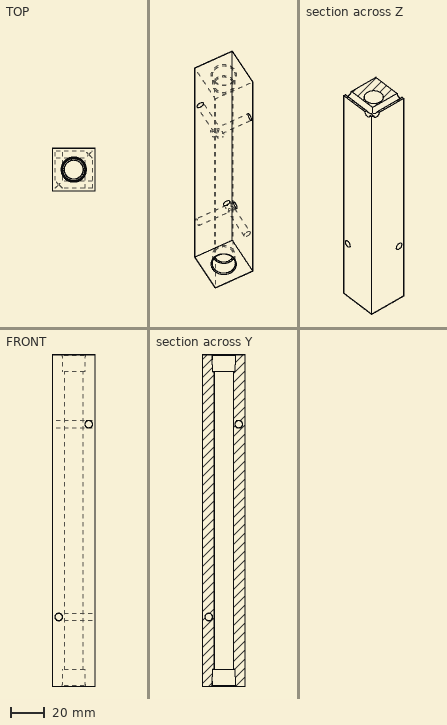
import cadquery as cq

side = 25.4
length = 196.85

bore_diameter = 11.1125
port_diameter = 13.716
port_taper = 1 / 16
port_depth = 10.2
mouth_chamfer = 0.635
port_end_diameter = port_diameter - port_taper * port_depth

hole_diameter = 4.318
hole_offset = 8.89
hole_height = 57.15


def make_cone(mouth_z, start_diameter, end_diameter, depth):
    """Truncated cone whose first circle is at mouth_z; a negative depth runs down."""
    return (
        cq.Workplane("XY", origin=(0, 0, mouth_z))
        .circle(start_diameter / 2)
        .workplane(offset=depth)
        .circle(end_diameter / 2)
        .loft(ruled=True)
    )


def make_port(direction):
    """Tapered port and its mouth chamfer; direction is +1 for the top end, -1 for the bottom."""
    mouth_z = direction * length / 2
    taper = make_cone(mouth_z, port_diameter, port_end_diameter, -direction * port_depth)
    flare_diameter = port_diameter + 2 * mouth_chamfer
    flare = make_cone(mouth_z, flare_diameter, port_diameter, -direction * mouth_chamfer)
    return taper.union(flare)


def make_mounting_hole(plane, direction):
    """Hole through the bar normal to the plane, near the corner chosen by direction."""
    return (
        cq.Workplane(plane)
        .center(direction * hole_offset, direction * hole_height)
        .circle(hole_diameter / 2)
        .extrude(side, both=True)
    )


bar = cq.Workplane("XY").box(side, side, length)
bore = cq.Workplane("XY").circle(bore_diameter / 2).extrude(length, both=True)

result = bar.cut(bore)
for direction in (1, -1):
    result = result.cut(make_port(direction))
    for plane in ("YZ", "XZ"):
        result = result.cut(make_mounting_hole(plane, direction))